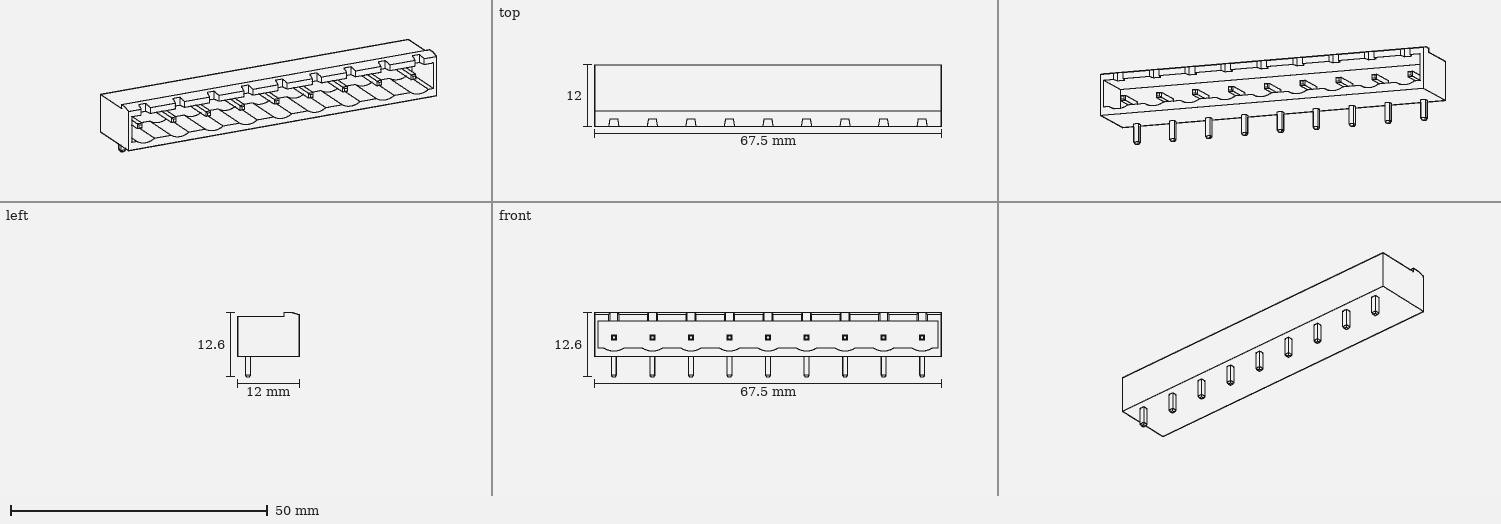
import cadquery as cq


pin_count = 9
pitch = 7.5
pin_positions = [(index - (pin_count - 1) / 2) * pitch for index in range(pin_count)]

housing_length = pin_count * pitch
housing_depth = 12.0
housing_height = 8.6
roof_step = 0.8
lip_depth = 3.0
lip_slope_depth = 1.5
lip_slope_drop = 0.45

end_wall = 0.7
floor_thickness = 1.65
roof_thickness = 1.65
back_wall = 3.0
cavity_depth = housing_depth - back_wall
cavity_length = housing_length - 2 * end_wall
cavity_height = housing_height - floor_thickness - roof_thickness

groove_width = 3.9
groove_depth = 0.6

notch_front_width = 2.0
notch_back_width = 1.5

pin_width = 1.0
pin_tip_width = 0.6
pin_taper = 0.4
contact_height = 3.7
solder_length = 4.0
solder_inset = 2.0
solder_pin_y = housing_depth - solder_inset
contact_tip_y = 2.2


def make_housing():
    """Solid block with a raised front lip that slopes down to the open face."""
    roof_height = housing_height - roof_step
    profile = [
        (0, 0),
        (housing_depth, 0),
        (housing_depth, roof_height),
        (lip_depth, roof_height),
        (lip_depth, housing_height),
        (lip_slope_depth, housing_height),
        (0, housing_height - lip_slope_drop),
    ]
    return cq.Workplane("YZ").polyline(profile).close().extrude(housing_length / 2, both=True)


def make_cavity():
    """Rectangular pocket open at the front face."""
    pocket = cq.Workplane("XY").box(
        cavity_length, cavity_depth, cavity_height, centered=(True, False, False)
    )
    return pocket.translate((0, 0, floor_thickness))


def make_groove(x):
    """Shallow arc-shaped groove along the cavity floor."""
    half_width = groove_width / 2
    return (
        cq.Workplane("XZ")
        .moveTo(x - half_width, floor_thickness)
        .threePointArc((x, floor_thickness - groove_depth), (x + half_width, floor_thickness))
        .close()
        .extrude(-cavity_depth)
    )


def make_notch(x):
    """Wedge cut down through the lip into the cavity."""
    outline = [
        (x - notch_front_width / 2, 0),
        (x + notch_front_width / 2, 0),
        (x + notch_back_width / 2, lip_slope_depth),
        (x - notch_back_width / 2, lip_slope_depth),
    ]
    notch_floor = housing_height - roof_thickness
    return cq.Workplane("XY").workplane(offset=notch_floor).polyline(outline).close().extrude(roof_thickness)


def make_bar(plane, length):
    """Square bar along the plane normal, ending in a tapered tip."""
    shaft = cq.Workplane(plane).rect(pin_width, pin_width).extrude(length - pin_taper)
    tip = (
        cq.Workplane(plane)
        .workplane(offset=length - pin_taper)
        .rect(pin_width, pin_width)
        .workplane(offset=pin_taper)
        .rect(pin_tip_width, pin_tip_width)
        .loft(ruled=True)
    )
    return shaft.union(tip)


def make_pin(x):
    """Right-angle pin: a contact pointing forwards and a solder leg pointing down."""
    corner = (x, solder_pin_y, contact_height)
    contact = make_bar("XZ", solder_pin_y - contact_tip_y).translate(corner)
    solder_leg = make_bar("XY", contact_height + solder_length).rotate((0, 0, 0), (1, 0, 0), 180)
    return contact.union(solder_leg.translate(corner))


result = make_housing().cut(make_cavity())
for pin_x in pin_positions:
    result = result.cut(make_groove(pin_x)).cut(make_notch(pin_x))
for pin_x in pin_positions:
    result = result.union(make_pin(pin_x))